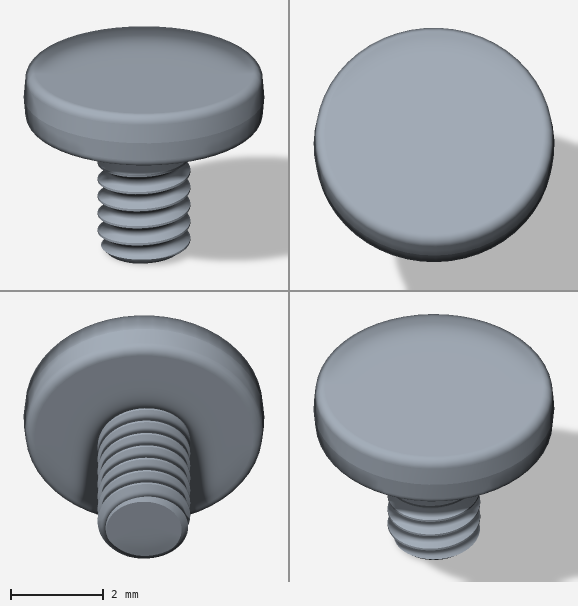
import cadquery as cq
import math

total_height = 4.2
head_diameter = 5.2
head_height = 1.2
head_draft = 5.0
head_fillet = 0.2
thread_diameter = 2.0
pitch = 0.4
tip_chamfer = 0.185
first_crest_height = 0.215
cutter_clearance = 0.015
flank_angle = 30.0

crest_width = pitch / 8
sharp_height = pitch / (2 * math.tan(math.radians(flank_angle)))
thread_depth = sharp_height * 17 / 24
root_fillet = sharp_height / 6
thread_radius = thread_diameter / 2
root_radius = thread_radius - thread_depth
shank_length = total_height - head_height


def make_head():
    """Disc with a rim that tapers both ways from its middle and rounded edges."""
    middle_radius = head_diameter / 2
    half_height = head_height / 2
    face_radius = middle_radius - half_height * math.tan(math.radians(head_draft))
    return (
        cq.Workplane("XZ")
        .moveTo(0, shank_length)
        .lineTo(face_radius, shank_length)
        .lineTo(middle_radius, shank_length + half_height)
        .lineTo(face_radius, total_height)
        .lineTo(0, total_height)
        .close()
        .revolve(360, (0, 0, 0), (0, 1, 0))
        .faces("<Z or >Z")
        .edges()
        .fillet(head_fillet)
    )


def make_groove():
    """Right-handed V groove with a rounded root, running from below the tip into the head."""
    flank_slope = math.tan(math.radians(flank_angle))
    outer_radius = thread_radius + cutter_clearance
    half_mouth = (pitch - crest_width) / 2 + cutter_clearance * flank_slope
    tangent_radius = root_radius + root_fillet * (1 - math.sin(math.radians(flank_angle)))
    half_root = root_fillet * math.cos(math.radians(flank_angle))
    start_height = first_crest_height - 1.5 * pitch
    groove_length = shank_length + pitch - start_height
    helix = cq.Wire.makeHelix(pitch, groove_length, root_radius)
    return (
        cq.Workplane("XZ")
        .moveTo(outer_radius, -half_mouth)
        .lineTo(outer_radius, half_mouth)
        .lineTo(tangent_radius, half_root)
        .threePointArc((root_radius, 0), (tangent_radius, -half_root))
        .close()
        .sweep(cq.Workplane(obj=helix), isFrenet=True)
        .translate((0, 0, start_height))
    )


def make_shank():
    """Threaded shank with a chamfered tip, reaching up into the head."""
    return (
        cq.Workplane("XY")
        .circle(thread_radius)
        .extrude(shank_length + head_height / 2)
        .faces("<Z")
        .chamfer(tip_chamfer)
        .cut(make_groove())
    )


result = make_shank().union(make_head())